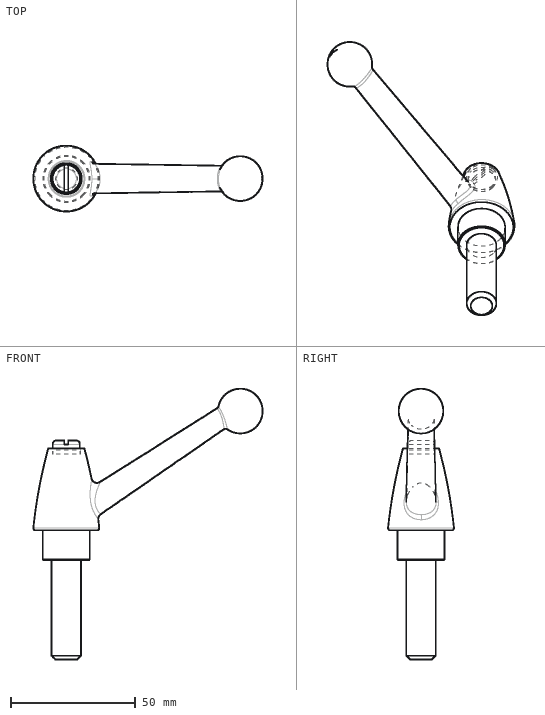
import cadquery as cq
import math

total_height = 109.0

stud_diameter = 12.0
stud_chamfer = 1.6
sleeve_diameter = 19.0
sleeve_bottom = 39.9
sleeve_chamfer = 0.4

hub_bottom = 52.0
hub_top = 85.0
hub_base_radius = 13.3
hub_top_radius = 7.3
hub_bulge = 0.7
hub_rim_height = 1.1
hub_rim_inset = 0.5
hub_top_fillet = 0.4

screw_diameter = 11.0
screw_top = 88.2
screw_fillet = 1.5
bore_diameter = 11.2
bore_depth = 2.2
bore_chamfer = 0.7
slot_width = 1.5
slot_depth = 1.6

ball_radius = 9.0
ball_x = 70.0
ball_z = total_height - ball_radius

arm_angle = 33.4
arm_start_x = 4.4
arm_start_z = 58.9
arm_end_x = 65.4
arm_start_width = 12.2
arm_start_height = 11.5
arm_end_width = 10.4
arm_end_height = 8.5
hub_joint_fillet = 2.2
ball_joint_fillet = 1.1


def cylinder(diameter, bottom, top):
    return cq.Workplane("XY").workplane(offset=bottom).circle(diameter / 2).extrude(top - bottom)


def make_hub():
    flank_bottom = hub_bottom + hub_rim_height
    middle_radius = (hub_base_radius + hub_top_radius) / 2 + hub_bulge
    middle_z = (flank_bottom + hub_top) / 2
    rim_radius = hub_base_radius - hub_rim_inset
    rim_start = (hub_base_radius, flank_bottom)
    profile = (
        cq.Workplane("XZ")
        .moveTo(0, hub_top)
        .lineTo(hub_top_radius, hub_top)
        .threePointArc((middle_radius, middle_z), rim_start)
        .tangentArcPoint((rim_radius, hub_bottom), relative=False)
        .lineTo(0, hub_bottom)
        .close()
    )
    hub = profile.revolve(360, (0, 0, 0), (0, 1, 0))
    return hub.faces(">Z").edges().fillet(hub_top_fillet)


def make_arm():
    angle = math.radians(arm_angle)
    length = (arm_end_x - arm_start_x) / math.cos(angle)
    start_plane = cq.Plane(
        origin=(arm_start_x, 0, arm_start_z),
        xDir=(0, 1, 0),
        normal=(math.cos(angle), 0, math.sin(angle)),
    )
    return (
        cq.Workplane(start_plane)
        .ellipse(arm_start_width / 2, arm_start_height / 2)
        .workplane(offset=length)
        .ellipse(arm_end_width / 2, arm_end_height / 2)
        .loft(ruled=True)
    )


def make_lever():
    """Hub, arm and ball in one piece, with both arm joints filleted."""
    ball = cq.Workplane("XY").sphere(ball_radius).translate((ball_x, 0, ball_z))
    lever = make_hub().union(make_arm()).union(ball)
    near_hub = cq.selectors.BoxSelector(
        (hub_top_radius, -hub_base_radius, hub_bottom + 2 * hub_rim_height),
        (arm_end_x / 2, hub_base_radius, hub_top - hub_rim_height),
    )
    near_ball = cq.selectors.BoxSelector(
        (ball_x - 2 * ball_radius, -ball_radius, ball_z - ball_radius),
        (ball_x - ball_radius / 4, ball_radius, ball_z + ball_radius),
    )
    lever = lever.edges(near_hub).edges("not %LINE").fillet(hub_joint_fillet)
    return lever.edges(near_ball).edges("not %LINE").fillet(ball_joint_fillet)


def make_bore():
    mouth_radius = bore_diameter / 2 + bore_chamfer
    profile = (
        cq.Workplane("XZ")
        .moveTo(0, hub_top)
        .lineTo(mouth_radius, hub_top)
        .lineTo(bore_diameter / 2, hub_top - bore_chamfer)
        .lineTo(bore_diameter / 2, hub_top - bore_depth)
        .lineTo(0, hub_top - bore_depth)
        .close()
    )
    return profile.revolve(360, (0, 0, 0), (0, 1, 0))


def make_screw():
    bottom = hub_top - bore_depth
    head = cylinder(screw_diameter, bottom, screw_top).faces(">Z").edges().fillet(screw_fillet)
    slot = (
        cq.Workplane("XY")
        .workplane(offset=screw_top - slot_depth)
        .rect(slot_width, screw_diameter)
        .extrude(slot_depth)
    )
    return head.cut(slot)


stud = cylinder(stud_diameter, 0, sleeve_bottom).faces("<Z").edges().chamfer(stud_chamfer)
sleeve = cylinder(sleeve_diameter, sleeve_bottom, hub_bottom)
sleeve = sleeve.faces("<Z").edges().chamfer(sleeve_chamfer)

result = make_lever().cut(make_bore()).union(make_screw()).union(sleeve).union(stud)